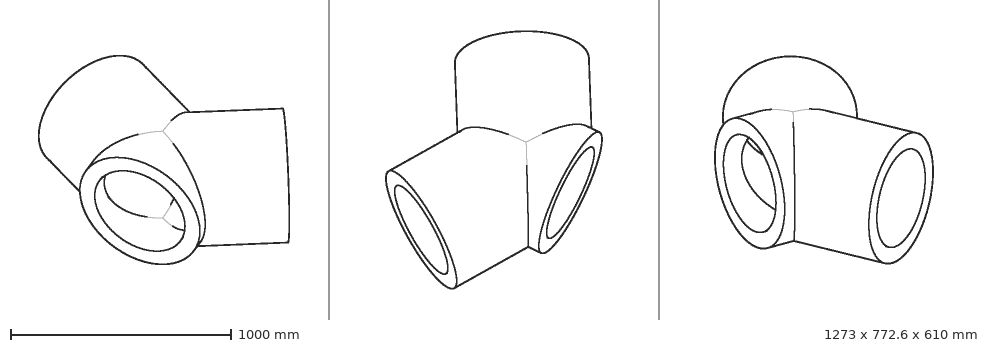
import cadquery as cq
import math

overall_width = 1273.0
outer_diameter = 610.0
bore_diameter = 458.0
front_length = 229.0
arm_rise_angle = 30.0

rise = math.radians(arm_rise_angle)
rim_reach = outer_diameter / 2 * math.sin(rise)
arm_length = (overall_width / 2 - rim_reach) / math.cos(rise)

branches = [
    (-90.0, front_length),
    (arm_rise_angle, arm_length),
    (180.0 - arm_rise_angle, arm_length),
]


def three_way(diameter):
    """Join one solid cylinder per branch at the origin."""
    joined = cq.Workplane("XY")
    for angle, length in branches:
        cylinder = cq.Workplane("YZ").circle(diameter / 2).extrude(length)
        joined = joined.add(cylinder.rotate((0, 0, 0), (0, 0, 1), angle))
    return joined.combine()


body = three_way(outer_diameter)
trim_box = (
    cq.Workplane("XY")
    .box(2 * overall_width, 2 * overall_width, 2 * outer_diameter, centered=(True, False, True))
    .translate((0, -front_length, 0))
)

result = body.intersect(trim_box).cut(three_way(bore_diameter))